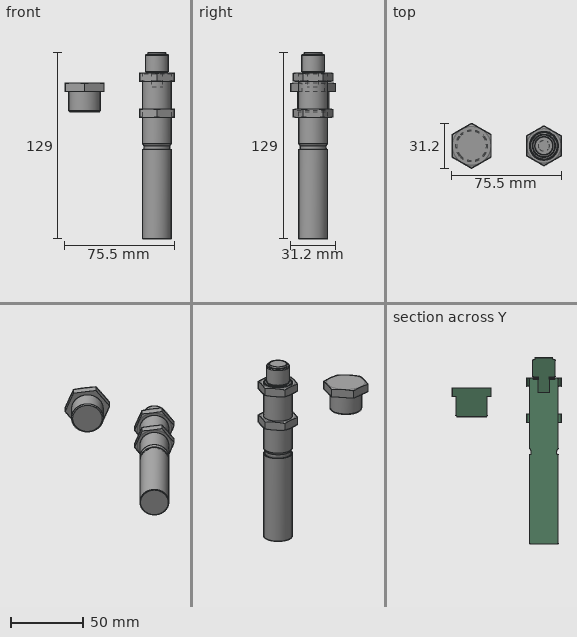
import cadquery as cq
import math


housing_diameter = 20.0
housing_height = 115.0
housing_bottom_chamfer = 0.4
thread_root_diameter = 18.38
recess_diameter = 15.1
recess_depth = 1.0
top_chamfer = (housing_diameter - thread_root_diameter) / 2

groove_diameter = 18.0
groove_shoulder_z = 62.0
groove_lower_cone_height = 0.8
groove_thread_run_out_z = 66.15
groove_run_out_length = 1.4
groove_upper_cone_height = 0.3

rod_diameter = 7.5
rod_bore_depth = 10.0
head_diameter = 16.0
head_chamfered_diameter = 15.1
head_bottom_chamfer = 0.5
head_bottom_z = 115.5
head_top_z = 127.7
head_top_chamfer_height = 0.8
pad_base_diameter = 12.8
pad_top_diameter = 12.2
overall_height = 129.0

hex_height = 6.0
hex_chamfer_angle = 13.0
hex_face_inset = 0.15

nut_across_flats = 24.0
nut_base_heights = [housing_height - hex_height, 84.0]

cap_offset_x = -50.0
cap_bottom_z = 88.0
cap_across_flats = 27.0
cap_barrel_diameter = 22.0
cap_barrel_height = 14.0
cap_chamfer = 0.8


def revolve_profile(points):
    """Turn a half profile of (radius, height) points around the Z axis."""
    return cq.Workplane("XZ").polyline(points).close().revolve(360, (0, 0, 0), (0, 1, 0))


def make_hexagon(across_flats, chamfer_bottom):
    """Hexagonal prism on Z = 0 with corners on +Y and -Y whose upper corners, and optionally
    lower corners, are turned off by a shallow cone."""
    corner_radius = across_flats / math.sqrt(3)
    face_radius = across_flats / 2 - hex_face_inset
    corner_drop = (corner_radius - face_radius) * math.tan(math.radians(hex_chamfer_angle))
    prism = (
        cq.Workplane("XY")
        .polygon(6, 2 * corner_radius)
        .extrude(hex_height)
        .rotate((0, 0, 0), (0, 0, 1), 30)
    )
    if chamfer_bottom:
        bottom = [(face_radius, 0), (corner_radius, corner_drop)]
    else:
        bottom = [(corner_radius, 0)]
    top = [(corner_radius, hex_height - corner_drop), (face_radius, hex_height)]
    return prism.intersect(revolve_profile([(0, 0)] + bottom + top + [(0, hex_height)]))


def make_housing():
    """Closed cylinder with a relief groove and a stepped blind bore for the rod."""
    outer = housing_diameter / 2
    root = thread_root_diameter / 2
    groove = groove_diameter / 2
    run_out_end_z = groove_thread_run_out_z - groove_run_out_length
    recess = recess_diameter / 2
    bore = rod_diameter / 2
    bore_floor_z = housing_height - rod_bore_depth
    housing = revolve_profile([
        (0, 0),
        (outer, 0),
        (outer, groove_shoulder_z),
        (root, groove_shoulder_z),
        (groove, groove_shoulder_z + groove_lower_cone_height),
        (groove, run_out_end_z - groove_upper_cone_height),
        (root, run_out_end_z),
        (outer, groove_thread_run_out_z),
        (outer, housing_height - top_chamfer),
        (root, housing_height),
        (recess, housing_height),
        (recess, housing_height - recess_depth),
        (bore, housing_height - recess_depth),
        (bore, bore_floor_z),
        (0, bore_floor_z),
    ])
    return housing.faces("<Z").edges().chamfer(housing_bottom_chamfer)


def make_rod():
    """Piston rod carrying a chamfered stop head with a smaller pad on top."""
    rod_radius = rod_diameter / 2
    head = head_diameter / 2
    head_end = head_chamfered_diameter / 2
    pad_base = pad_base_diameter / 2
    pad_top = pad_top_diameter / 2
    rod_bottom_z = housing_height - rod_bore_depth
    return revolve_profile([
        (0, rod_bottom_z),
        (rod_radius, rod_bottom_z),
        (rod_radius, head_bottom_z),
        (head - head_bottom_chamfer, head_bottom_z),
        (head, head_bottom_z + head_bottom_chamfer),
        (head, head_top_z - head_top_chamfer_height),
        (head_end, head_top_z),
        (pad_base, head_top_z),
        (pad_top, overall_height),
        (0, overall_height),
    ])


def make_nut(base_z):
    """Lock nut whose bore fits the housing, chamfered on both faces."""
    nut = make_hexagon(nut_across_flats, chamfer_bottom=True)
    return nut.faces(">Z").workplane().hole(housing_diameter).translate((0, 0, base_z))


def make_cap():
    """Hexagon head on a plain barrel with a chamfered lower rim."""
    barrel = (
        cq.Workplane("XY")
        .circle(cap_barrel_diameter / 2)
        .extrude(cap_barrel_height)
        .faces("<Z")
        .chamfer(cap_chamfer)
    )
    head = make_hexagon(cap_across_flats, chamfer_bottom=False)
    cap = barrel.union(head.translate((0, 0, cap_barrel_height)))
    return cap.translate((cap_offset_x, 0, cap_bottom_z))


housing = make_housing()
rod = make_rod()
nuts = [make_nut(base_z) for base_z in nut_base_heights]
cap = make_cap()

result = cq.Compound.makeCompound(
    [housing.val(), rod.val(), *[nut.val() for nut in nuts], cap.val()]
)